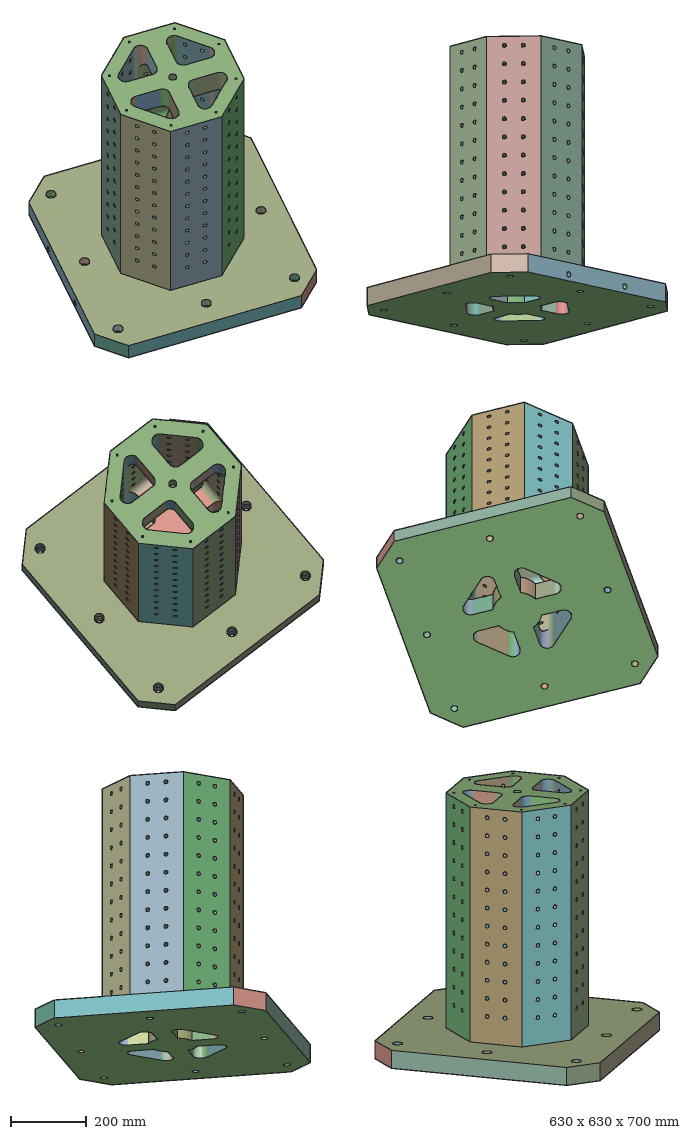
import cadquery as cq
import math

BASE_SIZE = 630.0
BASE_HEIGHT = 50.0
BASE_CORNER_CHAMFER = 70.0
MOUNT_SPACING = 250.0
MOUNT_HOLE_DIAMETER = 18.0
MOUNT_BORE_DIAMETER = 26.0
MOUNT_BORE_DEPTH = 25.0
SIDE_HOLE_DIAMETER = 14.0
SIDE_HOLE_SPACING = 200.0
SIDE_HOLE_HEIGHT = 18.0
SIDE_HOLE_DEPTH = 40.0

TOTAL_HEIGHT = 700.0
COLUMN_WIDTH = 350.0
WALL = 40.0
FACE_COUNT = 8
FACE_ANGLE = 360.0 / FACE_COUNT

WEB_THICKNESS = 55.0
WEB_HEIGHT = 70.0
WINDOW_HEIGHT = (TOTAL_HEIGHT - 3 * WEB_HEIGHT) / 2
WINDOW_FILLET = 20.0
POCKET_FILLET = 20.0
HUB_DIAMETER = 130.0

GRID_HOLE_DIAMETER = 10.11
GRID_PITCH = 50.0
GRID_ROWS = 12
GRID_TOP_OFFSET = 25.0
WEB_ROWS = (0, 1, 6, 7)
BLIND_HOLE_DEPTH = 30.0

COVER_HOLE_DIAMETER = 5.0
COVER_HOLE_DEPTH = 15.0
CENTER_HOLE_DIAMETER = 21.0
CENTER_HOLE_DEPTH = 40.0
DRILL_POINT_ANGLE = 118.0

INNER_WIDTH = COLUMN_WIDTH - 2 * WALL
HALF_WEB = WEB_THICKNESS / 2


def octagon_prism(width_across_flats, bottom, top):
    """Upright regular octagon with flats square to X and Y."""
    across_corners = width_across_flats / math.cos(math.pi / FACE_COUNT)
    return (
        cq.Workplane("XY", origin=(0, 0, bottom))
        .polygon(FACE_COUNT, across_corners)
        .extrude(top - bottom)
        .rotate((0, 0, 0), (0, 0, 1), FACE_ANGLE / 2)
    )


def drilled_hole(diameter, depth):
    """Cutter that enters downwards at the origin and ends in a drill point."""
    radius = diameter / 2
    point_length = radius / math.tan(math.radians(DRILL_POINT_ANGLE / 2))
    return (
        cq.Workplane("XZ")
        .moveTo(0, 0)
        .lineTo(radius, 0)
        .lineTo(radius, -depth)
        .lineTo(0, -depth - point_length)
        .close()
        .revolve(360, (0, 0, 0), (0, 1, 0))
    )


def make_base():
    """Chamfered square plate with counterbored mounting holes and two holes in its -Y side."""
    plate = (
        cq.Workplane("XY")
        .rect(BASE_SIZE, BASE_SIZE)
        .extrude(BASE_HEIGHT)
        .edges("|Z")
        .chamfer(BASE_CORNER_CHAMFER)
    )
    steps = (-MOUNT_SPACING, 0, MOUNT_SPACING)
    mount_points = [(x, y) for x in steps for y in steps if (x, y) != (0, 0)]
    plate = (
        plate.faces(">Z")
        .workplane(origin=(0, 0, BASE_HEIGHT))
        .pushPoints(mount_points)
        .cboreHole(MOUNT_HOLE_DIAMETER, MOUNT_BORE_DIAMETER, MOUNT_BORE_DEPTH)
    )
    side_hole = drilled_hole(SIDE_HOLE_DIAMETER, SIDE_HOLE_DEPTH).rotate((0, 0, 0), (1, 0, 0), 90)
    for x in (-SIDE_HOLE_SPACING / 2, SIDE_HOLE_SPACING / 2):
        plate = plate.cut(side_hole.translate((x, -BASE_SIZE / 2, SIDE_HOLE_HEIGHT)))
    return plate


def corner_pocket():
    """Pocket between two webs and the octagonal wall of the +X +Y quadrant."""
    side = INNER_WIDTH / 2 - HALF_WEB
    block = (
        cq.Workplane("XY", origin=(HALF_WEB, HALF_WEB, 0))
        .rect(side, side, centered=False)
        .extrude(TOTAL_HEIGHT)
        .edges("|Z")
        .fillet(POCKET_FILLET)
    )
    rounded_octagon = octagon_prism(INNER_WIDTH, 0, TOTAL_HEIGHT).edges("|Z").fillet(POCKET_FILLET)
    hub = cq.Workplane("XY").circle(HUB_DIAMETER / 2).extrude(WEB_HEIGHT)
    return block.intersect(rounded_octagon).cut(hub)


def web_window(floor):
    """Opening with rounded corners through the web that runs along Y."""
    width = WEB_THICKNESS + 2 * POCKET_FILLET
    return (
        cq.Workplane("XY", origin=(0, 0, floor))
        .box(width, INNER_WIDTH, WINDOW_HEIGHT, centered=(True, True, False))
        .edges("|X")
        .fillet(WINDOW_FILLET)
    )


def hollow_column(body):
    """Open the four pockets down the column and the windows through both webs."""
    pocket = corner_pocket()
    for quarter in range(4):
        body = body.cut(pocket.rotate((0, 0, 0), (0, 0, 1), 90 * quarter))
    for floor in (WEB_HEIGHT, TOTAL_HEIGHT - WEB_HEIGHT - WINDOW_HEIGHT):
        for angle in (0, 90):
            body = body.cut(web_window(floor).rotate((0, 0, 0), (0, 0, 1), angle))
    return body


def grid_holes(hole, rows):
    """Two columns of the given hole down the -Y face, in the listed rows, as one cutter."""
    holes = [
        hole.translate((x, -COLUMN_WIDTH / 2, TOTAL_HEIGHT - GRID_TOP_OFFSET - row * GRID_PITCH)).val()
        for x in (-GRID_PITCH / 2, GRID_PITCH / 2)
        for row in rows
    ]
    return cq.Workplane(cq.Compound.makeCompound(holes))


def drill_grid(body):
    """Drill every column face; holes are blind where they would meet a web."""
    through_hole = cq.Workplane("XZ").circle(GRID_HOLE_DIAMETER / 2).extrude(-WALL)
    blind_hole = drilled_hole(GRID_HOLE_DIAMETER, BLIND_HOLE_DEPTH).rotate((0, 0, 0), (1, 0, 0), 90)
    all_rows = range(GRID_ROWS)
    window_rows = [row for row in all_rows if row not in WEB_ROWS]
    web_faces = [grid_holes(through_hole, window_rows), grid_holes(blind_hole, WEB_ROWS)]
    diagonal_faces = [grid_holes(through_hole, all_rows)]
    for face in range(FACE_COUNT):
        meets_web = face % 2 == 0
        for holes in web_faces if meets_web else diagonal_faces:
            body = body.cut(holes.rotate((0, 0, 0), (0, 0, 1), FACE_ANGLE * face))
    return body


def drill_top(body):
    """Drill the central hole and the ring of small cover holes in the top face."""
    center_hole = drilled_hole(CENTER_HOLE_DIAMETER, CENTER_HOLE_DEPTH)
    body = body.cut(center_hole.translate((0, 0, TOTAL_HEIGHT)))
    ring_radius = (COLUMN_WIDTH - WALL) / 2 / math.cos(math.pi / FACE_COUNT)
    cover_holes = (
        cq.Workplane("XY", origin=(0, 0, TOTAL_HEIGHT - COVER_HOLE_DEPTH))
        .polarArray(ring_radius, FACE_ANGLE / 2, 360, FACE_COUNT)
        .circle(COVER_HOLE_DIAMETER / 2)
        .extrude(COVER_HOLE_DEPTH)
    )
    return body.cut(cover_holes)


column = octagon_prism(COLUMN_WIDTH, BASE_HEIGHT, TOTAL_HEIGHT)
body = make_base().union(column)
body = hollow_column(body)
body = drill_grid(body)
result = drill_top(body)